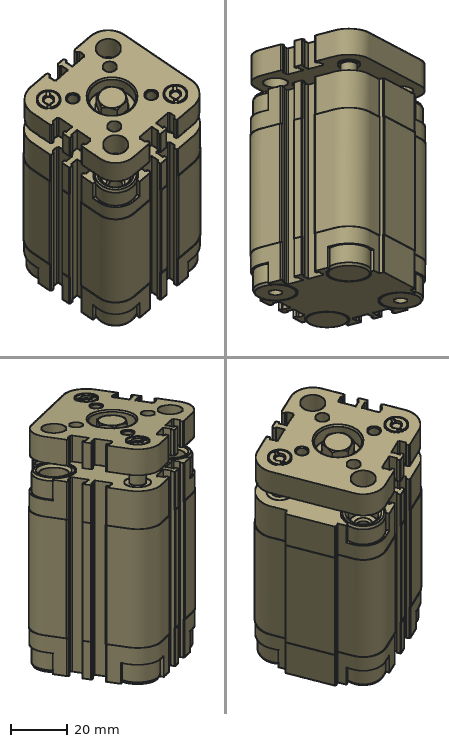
import cadquery as cq
import math

CAP_HEIGHT = 14.5
HOUSING_HEIGHT = 74.5
PLATE_GAP = 6.0
PLATE_THICKNESS = 10.0
PLATE_BOTTOM = HOUSING_HEIGHT + PLATE_GAP
PLATE_TOP = PLATE_BOTTOM + PLATE_THICKNESS

CORNER_OFFSET = 16.0
CAP_WIDTH = 49.6
TUBE_WIDTH = 50.0
PLATE_WIDTH = 49.2

RAIL_WIDTH = 19.5
RAIL_HEIGHT = 2.0
RAIL_CHAMFER = 0.4

SLOT_FLOOR = 20.0
LIP_DISTANCE = 23.2
SLOT_INNER = 1.15
SLOT_OUTER = 8.0
MOUTH_INNER = 1.85
MOUTH_OUTER = 7.05
SLOT_CORNER_CHAMFER = 0.5
MOUTH_CHAMFER_WIDTH = 0.65
MOUTH_CHAMFER_DEPTH = 0.3
TONGUE_CHAMFER = 0.3

BOSS_RADIUS = 8.0
BOSS_CHAMFER_WIDTH = 0.6
BOSS_CHAMFER_HEIGHT = 1.0
CORNER_NOTCH_HEIGHT = 8.0
CORNER_NOTCH_START = 13.0

MOUNT_RECESS_DIAMETER = 10.7
MOUNT_RECESS_RIM_DIAMETER = 12.9
MOUNT_RECESS_DEPTH = 5.2
MOUNT_HOLE_DIAMETER = 4.92
MOUNT_HOLE_RIM_DIAMETER = 6.6

PISTON_ROD_DIAMETER = 12.0
FLAT_WIDTH = 10.0
FLAT_START = HOUSING_HEIGHT + 1.3
GUIDE_ROD_DIAMETER = 6.0
GUIDE_COLLAR_DIAMETER = 8.0
GUIDE_COLLAR_HEIGHT = 0.5
GUIDE_SEAT_DIAMETER = 9.6
GUIDE_SEAT_DEPTH = 0.1
ROD_DEPTH = CAP_HEIGHT

BORE_DIAMETER = 17.0
BORE_CHAMFER = 0.6
BORE_DEPTH = 6.0
ROD_END_HEIGHT = 0.2
HEX_SIDES = 6
HEX_ACROSS_FLATS = 10.0
HEX_TOP_DIAMETER = 9.9
HEX_CHAMFER_HEIGHT = 0.5
HEX_TOP_DEPTH = 0.5

ACCESS_HOLE_DIAMETER = 9.0
INNER_HOLE_OFFSET = 9.9
INNER_HOLE_DIAMETER = 5.0
THREAD_DIAMETER = 4.13

HEAD_HOLE_DIAMETER = 8.57
HEAD_DIAMETER = 7.7
HEAD_GROOVE_DEPTH = 0.4
HEAD_SLOT_WIDTH = 1.3
HEAD_SLOT_DEPTH = 0.8
HEAD_SLOT_ANGLE = -45.0
HEAD_SOCKET_DIAMETER = 4.13
SOCKET_FLOOR_DIAMETER = 3.4
SOCKET_GROOVE_DEPTH = 0.4

GUIDE_CORNERS = [(CORNER_OFFSET, CORNER_OFFSET), (-CORNER_OFFSET, -CORNER_OFFSET)]
MOUNT_CORNERS = [(CORNER_OFFSET, -CORNER_OFFSET), (-CORNER_OFFSET, CORNER_OFFSET)]


def cylinder(diameter, bottom, top, center=(0, 0)):
    return cq.Workplane("XY", origin=(*center, bottom)).circle(diameter / 2).extrude(top - bottom)


def cone(bottom_diameter, top_diameter, bottom, top, center=(0, 0)):
    solid = cq.Solid.makeCone(bottom_diameter / 2, top_diameter / 2, top - bottom)
    return cq.Workplane(solid.translate(cq.Vector(*center, bottom)))


def rounded_block(width, bottom, top):
    corner_radius = width / 2 - CORNER_OFFSET
    block = cq.Workplane("XY", origin=(0, 0, bottom)).rect(width, width).extrude(top - bottom)
    return block.edges("|Z").fillet(corner_radius)


def rail(outer_y, bottom, top):
    """Flat rail on the +Y side with chamfered outer edges."""
    block = cq.Workplane("XY", origin=(0, 0, bottom)).center(0, outer_y / 2)
    block = block.rect(RAIL_WIDTH, outer_y).extrude(top - bottom)
    return block.edges("|Z and >Y").chamfer(RAIL_CHAMFER)


def t_slot(half_width, bottom, top):
    """Cutter for the right-hand T slot of the -Y side, for a block of the given half width."""
    mouth_end = -half_width
    corner = SLOT_CORNER_CHAMFER
    profile = [
        (SLOT_INNER, -SLOT_FLOOR),
        (SLOT_OUTER - corner, -SLOT_FLOOR),
        (SLOT_OUTER, -SLOT_FLOOR - corner),
        (SLOT_OUTER, -LIP_DISTANCE + corner),
        (SLOT_OUTER - corner, -LIP_DISTANCE),
        (MOUTH_OUTER, -LIP_DISTANCE),
        (MOUTH_OUTER, mouth_end + MOUTH_CHAMFER_DEPTH),
        (MOUTH_OUTER + MOUTH_CHAMFER_WIDTH, mouth_end),
        (MOUTH_INNER - TONGUE_CHAMFER, mouth_end),
        (MOUTH_INNER, mouth_end + TONGUE_CHAMFER),
        (MOUTH_INNER, -LIP_DISTANCE),
        (SLOT_INNER, -LIP_DISTANCE),
    ]
    return cq.Workplane("XY", origin=(0, 0, bottom)).polyline(profile).close().extrude(top - bottom)


def slotted_block(width, bottom, top):
    """Rounded square block with a pair of T slots on the -X, -Y and +X sides."""
    block = rounded_block(width, bottom, top)
    right_slot = t_slot(width / 2, bottom, top)
    for slot in (right_slot, right_slot.mirror("YZ")):
        for side_angle in (-90, 0, 90):
            block = block.cut(slot.rotate((0, 0, 0), (0, 0, 1), side_angle))
    return block


def boss_bevel(center, end_z, inward):
    """Ring cutter that bevels a corner boss; inward is +1 at the bottom end, -1 at the top end."""
    ring = (
        cq.Workplane("XZ")
        .moveTo(BOSS_RADIUS - BOSS_CHAMFER_WIDTH, 0)
        .lineTo(BOSS_RADIUS, 0)
        .lineTo(BOSS_RADIUS, inward * BOSS_CHAMFER_HEIGHT)
        .close()
        .revolve(360, (0, 0, 0), (0, 1, 0))
    )
    return ring.translate((*center, end_z))


def corner_notch(center, bottom, top):
    """Cutter that clears a housing corner around its round boss."""
    size = CAP_WIDTH / 2
    sign_x = math.copysign(1, center[0])
    sign_y = math.copysign(1, center[1])
    middle = CORNER_NOTCH_START + size / 2
    block = (
        cq.Workplane("XY", origin=(sign_x * middle, sign_y * middle, bottom))
        .rect(size, size)
        .extrude(top - bottom)
    )
    return block.cut(cylinder(2 * BOSS_RADIUS, bottom, top, center))


def build_housing():
    tube_top = HOUSING_HEIGHT - CAP_HEIGHT
    body = slotted_block(TUBE_WIDTH, CAP_HEIGHT, tube_top)
    body = body.union(rail(TUBE_WIDTH / 2 + RAIL_HEIGHT, CAP_HEIGHT, tube_top))
    for bottom, top in ((0, CAP_HEIGHT), (tube_top, HOUSING_HEIGHT)):
        body = body.union(slotted_block(CAP_WIDTH, bottom, top))
        body = body.union(rail(CAP_WIDTH / 2 + RAIL_HEIGHT, bottom, top))

    for center in GUIDE_CORNERS + MOUNT_CORNERS:
        body = body.cut(corner_notch(center, 0, CORNER_NOTCH_HEIGHT))
        body = body.cut(boss_bevel(center, 0, 1))

    recess_floor = HOUSING_HEIGHT - MOUNT_RECESS_DEPTH
    recess_bevel = (MOUNT_RECESS_RIM_DIAMETER - MOUNT_RECESS_DIAMETER) / 2
    hole_bevel = (MOUNT_HOLE_RIM_DIAMETER - MOUNT_HOLE_DIAMETER) / 2
    for center in MOUNT_CORNERS:
        body = body.cut(corner_notch(center, HOUSING_HEIGHT - CORNER_NOTCH_HEIGHT, HOUSING_HEIGHT))
        body = body.cut(boss_bevel(center, HOUSING_HEIGHT, -1))
        body = body.cut(cylinder(MOUNT_HOLE_DIAMETER, 0, HOUSING_HEIGHT, center))
        hole_rim = cone(
            MOUNT_HOLE_DIAMETER, MOUNT_HOLE_RIM_DIAMETER, recess_floor - hole_bevel, recess_floor, center
        )
        body = body.cut(hole_rim)
        body = body.cut(cylinder(MOUNT_RECESS_DIAMETER, recess_floor, HOUSING_HEIGHT, center))
        recess_rim = cone(
            MOUNT_RECESS_DIAMETER,
            MOUNT_RECESS_RIM_DIAMETER,
            HOUSING_HEIGHT - recess_bevel,
            HOUSING_HEIGHT,
            center,
        )
        body = body.cut(recess_rim)

    rod_bottom = HOUSING_HEIGHT - ROD_DEPTH
    body = body.cut(cylinder(PISTON_ROD_DIAMETER, rod_bottom, HOUSING_HEIGHT))
    for center in GUIDE_CORNERS:
        body = body.cut(cylinder(GUIDE_ROD_DIAMETER, rod_bottom, HOUSING_HEIGHT, center))
        body = body.cut(
            cylinder(GUIDE_SEAT_DIAMETER, HOUSING_HEIGHT - GUIDE_SEAT_DEPTH, HOUSING_HEIGHT, center)
        )
    return body


def piston_rod():
    rod = cylinder(PISTON_ROD_DIAMETER, HOUSING_HEIGHT - ROD_DEPTH, PLATE_BOTTOM)
    between_flats = (
        cq.Workplane("XY", origin=(0, 0, FLAT_START))
        .rect(PISTON_ROD_DIAMETER, FLAT_WIDTH)
        .extrude(PLATE_BOTTOM - FLAT_START)
    )
    full_round = cylinder(PISTON_ROD_DIAMETER, HOUSING_HEIGHT - ROD_DEPTH, FLAT_START)
    return rod.intersect(full_round.union(between_flats))


def hexagon_head(floor):
    """Hexagon with two corners on the Y axis, bevelled to a round top face."""
    top = PLATE_TOP - HEX_TOP_DEPTH
    half_side_angle = 180 / HEX_SIDES
    corner_diameter = HEX_ACROSS_FLATS / math.cos(math.radians(half_side_angle))
    bevel_start = top - HEX_CHAMFER_HEIGHT
    prism = cq.Workplane("XY", origin=(0, 0, floor)).polygon(HEX_SIDES, corner_diameter).extrude(top - floor)
    prism = prism.rotate((0, 0, 0), (0, 0, 1), half_side_angle)
    envelope = cylinder(corner_diameter, floor, bevel_start)
    envelope = envelope.union(cone(corner_diameter, HEX_TOP_DIAMETER, bevel_start, top))
    return prism.intersect(envelope)


def bevel_groove(outer_diameter, inner_diameter, bottom, top, center):
    """Ring cutter with a straight outer wall and an inner wall that widens downwards."""
    ring = cylinder(outer_diameter, bottom, top, center)
    return ring.cut(cone(outer_diameter, inner_diameter, bottom, top, center))


def cut_slotted_head(body, center):
    """Bevelled outline, screwdriver slot and round socket of a guide rod screw."""
    outline_floor = PLATE_TOP - HEAD_GROOVE_DEPTH
    outline = bevel_groove(HEAD_HOLE_DIAMETER, HEAD_DIAMETER, outline_floor, PLATE_TOP, center)
    slot_floor = PLATE_TOP - HEAD_SLOT_DEPTH
    slot = (
        cq.Workplane("XY", origin=(*center, slot_floor))
        .transformed(rotate=(0, 0, HEAD_SLOT_ANGLE))
        .rect(HEAD_HOLE_DIAMETER, HEAD_SLOT_WIDTH)
        .extrude(HEAD_SLOT_DEPTH)
        .intersect(cylinder(HEAD_HOLE_DIAMETER, slot_floor, PLATE_TOP, center))
    )
    socket = cylinder(HEAD_SOCKET_DIAMETER, slot_floor, PLATE_TOP, center)
    socket_groove = bevel_groove(
        HEAD_SOCKET_DIAMETER, SOCKET_FLOOR_DIAMETER, slot_floor - SOCKET_GROOVE_DEPTH, slot_floor, center
    )
    return body.cut(outline).cut(slot).cut(socket).cut(socket_groove)


def build_moving_plate():
    body = slotted_block(PLATE_WIDTH, PLATE_BOTTOM, PLATE_TOP)

    floor = PLATE_TOP - BORE_DEPTH
    body = body.cut(cylinder(BORE_DIAMETER, floor, PLATE_TOP))
    rim_diameter = BORE_DIAMETER + 2 * BORE_CHAMFER
    body = body.cut(cone(BORE_DIAMETER, rim_diameter, PLATE_TOP - BORE_CHAMFER, PLATE_TOP))
    body = body.union(cylinder(PISTON_ROD_DIAMETER, floor, floor + ROD_END_HEIGHT))
    body = body.union(hexagon_head(floor))

    thread_bevel = (INNER_HOLE_DIAMETER - THREAD_DIAMETER) / 2
    for side in (-1, 1):
        threaded = (side * INNER_HOLE_OFFSET, side * INNER_HOLE_OFFSET)
        plain = (side * INNER_HOLE_OFFSET, -side * INNER_HOLE_OFFSET)
        body = body.cut(cylinder(THREAD_DIAMETER, PLATE_BOTTOM, PLATE_TOP, threaded))
        body = body.cut(
            cone(THREAD_DIAMETER, INNER_HOLE_DIAMETER, PLATE_TOP - thread_bevel, PLATE_TOP, threaded)
        )
        body = body.cut(cylinder(INNER_HOLE_DIAMETER, PLATE_BOTTOM, PLATE_TOP, plain))

    for center in MOUNT_CORNERS:
        body = body.cut(cylinder(ACCESS_HOLE_DIAMETER, PLATE_BOTTOM, PLATE_TOP, center))

    body = body.union(piston_rod())
    for center in GUIDE_CORNERS:
        body = cut_slotted_head(body, center)
        body = body.union(cylinder(GUIDE_ROD_DIAMETER, HOUSING_HEIGHT - ROD_DEPTH, PLATE_BOTTOM, center))
        body = body.union(
            cylinder(GUIDE_COLLAR_DIAMETER, PLATE_BOTTOM - GUIDE_COLLAR_HEIGHT, PLATE_BOTTOM, center)
        )
    return body


housing = build_housing()
moving_plate = build_moving_plate()
result = cq.Compound.makeCompound([housing.val(), moving_plate.val()])